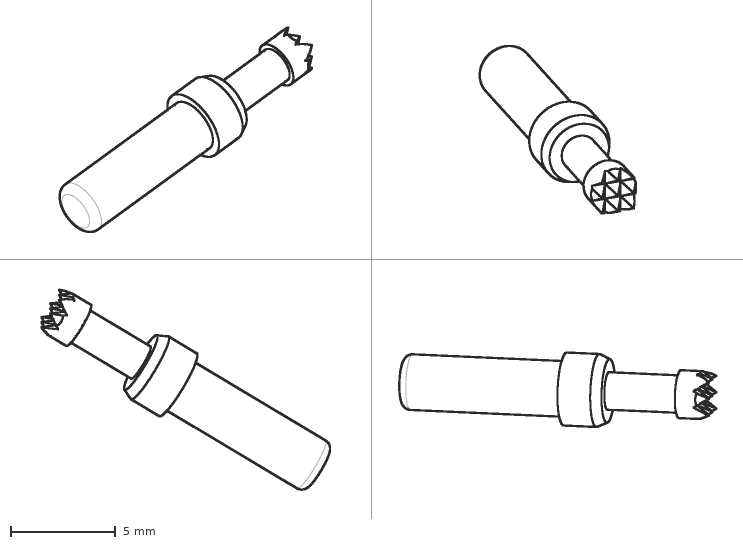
import cadquery as cq
import math


barrel_diameter = 2.67
barrel_length = 7.9
barrel_end_fillet = 0.4

collar_diameter = 3.5
collar_length = 2.1
collar_chamfer_length = 0.5
collar_chamfer_inset = 0.23

shaft_diameter = 1.8
shaft_length = 3.5
head_diameter = 2.3
head_length = 1.6

tooth_pitch = 0.8
teeth_per_row = 3
groove_angle = 60.0

shaft_start = collar_length
head_start = shaft_start + shaft_length
tip_y = head_start + head_length
groove_half_width = tooth_pitch / 2
groove_depth = groove_half_width / math.tan(math.radians(groove_angle / 2))


def axial_cylinder(diameter, start_y, length):
    """Solid cylinder on the Y axis, running toward +Y from start_y."""
    disc = cq.Workplane("XZ", origin=(0, start_y, 0)).circle(diameter / 2)
    return disc.extrude(-length)


def make_barrel():
    barrel = axial_cylinder(barrel_diameter, -barrel_length, barrel_length)
    return barrel.faces("<Y").edges().fillet(barrel_end_fillet)


def make_collar():
    """Collar with a steep chamfer on its plunger side."""
    outer_radius = collar_diameter / 2
    profile = (
        cq.Workplane("XY")
        .moveTo(0, 0)
        .lineTo(outer_radius, 0)
        .lineTo(outer_radius, collar_length - collar_chamfer_length)
        .lineTo(outer_radius - collar_chamfer_inset, collar_length)
        .lineTo(0, collar_length)
        .close()
    )
    return profile.revolve(360, (0, 0, 0), (0, 1, 0))


def make_groove(offset):
    """V-groove cutter running along Z, its root at X = offset."""
    profile = (
        cq.Workplane("XY")
        .moveTo(offset - groove_half_width, tip_y)
        .lineTo(offset, tip_y - groove_depth)
        .lineTo(offset + groove_half_width, tip_y)
        .close()
    )
    return profile.extrude(head_diameter, both=True)


def make_head():
    """Head cut by two crossing sets of V-grooves, one on each side of every tooth row."""
    head = axial_cylinder(head_diameter, head_start, head_length)
    for index in range(teeth_per_row + 1):
        groove = make_groove((index - teeth_per_row / 2) * tooth_pitch)
        head = head.cut(groove)
        head = head.cut(groove.rotate((0, 0, 0), (0, 1, 0), 90))
    return head


shaft = axial_cylinder(shaft_diameter, shaft_start, shaft_length)
result = make_barrel().union(make_collar()).union(shaft).union(make_head())